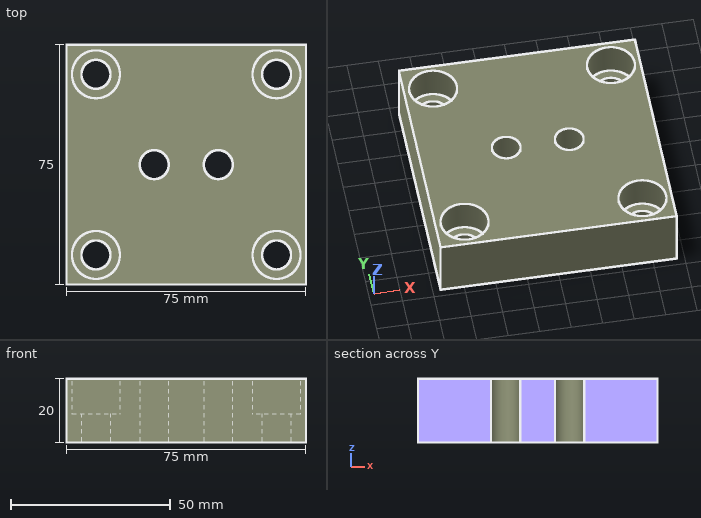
import cadquery as cq

side = 75.0
thickness = 20.0

hole_diameter = 9.0
counterbore_diameter = 15.0
counterbore_depth = 11.0
corner_spacing = 56.5

center_spacing = 20.0

plate = cq.Workplane("XY").box(side, side, thickness, centered=(True, True, False))

plate = (
    plate.faces(">Z")
    .workplane(origin=(0, 0, thickness))
    .rarray(corner_spacing, corner_spacing, 2, 2)
    .cboreHole(hole_diameter, counterbore_diameter, counterbore_depth)
)

result = (
    plate.faces(">Z")
    .workplane(origin=(0, 0, thickness))
    .rarray(center_spacing, side, 2, 1)
    .hole(hole_diameter)
)